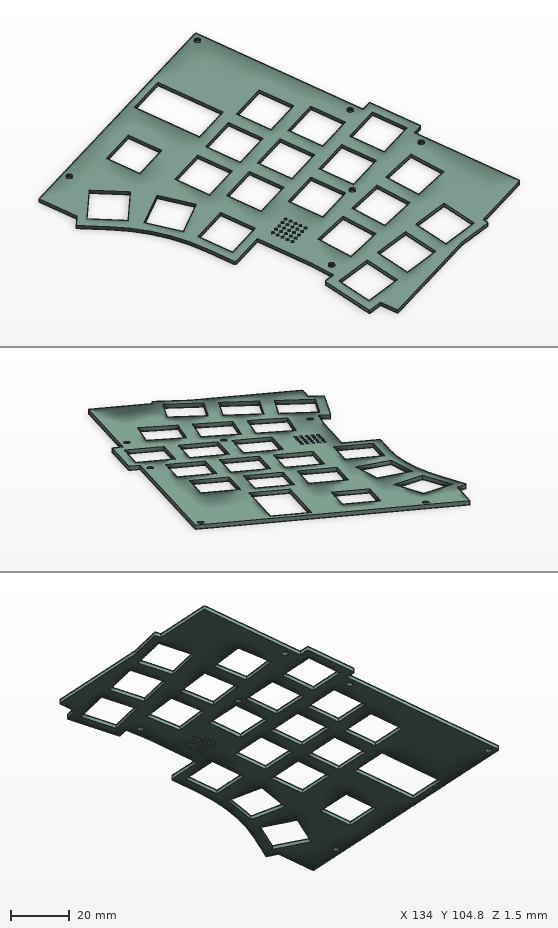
import cadquery as cq
import math

THICKNESS = 1.5

BODY_WIDTH = 131.8
BODY_HEIGHT = 97.05
FINGER_EDGE_Y = 24.4
FINGER_EDGE_BEND_X = 94.5
RIGHT_EDGE_Y = 21.3
CORNER_RADIUS = 0.5

SWITCH_SIZE = 14.0
KEY_PITCH = 19.05
KEYS_PER_COLUMN = 3
PAD_MARGIN = 3.45
PAD_HALF = SWITCH_SIZE / 2 + PAD_MARGIN

TALL_COLUMN = (78.5, 71.52, 0)
RING_COLUMN = (98.9, 61.03, -4)
PINKY_COLUMN = (118.68, 46.73, -10)
FINGER_COLUMNS = [
    (TALL_COLUMN[0] - 2 * KEY_PITCH, 59.45, 0),
    (TALL_COLUMN[0] - KEY_PITCH, 62.4, 0),
    TALL_COLUMN,
    RING_COLUMN,
    PINKY_COLUMN,
]

INNER_THUMB_X = 62.3
INNER_THUMB_Y = 21.25
THUMB_RADIUS = 81.6
THUMB_STEP = 15
THUMB_COUNT = 3
THUMB_EDGE_RADIUS = 66.0
THUMB_CENTRE_Y = INNER_THUMB_Y - THUMB_RADIUS

DISPLAY_CENTRE = (15.8, 62.5)
DISPLAY_SIZE = (26.4, 14.5)
KNOB_CENTRE = (15.1, 35.9)
KNOB_SIZE = 13.5

SCREW_DIAMETER = 2.2
SCREW_CENTRES = [
    (2.5, 94.4),
    (64.6, 94.4),
    (93.4, 94.4),
    (86.6, 62.1),
    (100.8, 27.5),
    (2.5, 14.9),
]
VENT_DIAMETER = 1.0
VENT_PITCH = 2.0
VENT_COUNT = 5
VENT_CENTRE = (79.5, 33.7)


def offset_point(frame, right, up):
    """Point at a distance right of and above a switch, along the switch's own tilted sides."""
    x, y, tilt = frame
    angle = math.radians(tilt)
    return (
        x + right * math.cos(angle) - up * math.sin(angle),
        y + right * math.sin(angle) + up * math.cos(angle),
    )


def column_keys(column):
    """Switch frames of a finger column, from the lowest to the highest."""
    middle = (KEYS_PER_COLUMN - 1) / 2
    tilt = column[2]
    return [
        (*offset_point(column, 0, (row - middle) * KEY_PITCH), tilt)
        for row in range(KEYS_PER_COLUMN)
    ]


def thumb_arc_point(radius, degrees):
    """Point on a circle about the thumb centre, at an angle left of straight up."""
    angle = math.radians(degrees)
    return (INNER_THUMB_X - radius * math.sin(angle), THUMB_CENTRE_Y + radius * math.cos(angle))


def thumb_keys():
    """Switch frames of the thumb cluster, from the inner to the outer one."""
    angles = [index * THUMB_STEP for index in range(THUMB_COUNT)]
    return [(*thumb_arc_point(THUMB_RADIUS, angle), angle) for angle in angles]


def tilted_block(frame, width, height):
    """Block as thick as the plate, centred on a tilted frame."""
    x, y, tilt = frame
    block = cq.Workplane("XY").rect(width, height).extrude(THICKNESS)
    return block.rotate((0, 0, 0), (0, 0, 1), tilt).translate((x, y, 0))


def thumb_edge_corner():
    """Point where the straight lower edges of the inner and the outer thumb pad would meet."""
    half_sweep = (THUMB_COUNT - 1) * THUMB_STEP / 2
    edge_distance = THUMB_RADIUS - PAD_HALF
    return thumb_arc_point(edge_distance / math.cos(math.radians(half_sweep)), half_sweep)


def round_corners(plate, corners, radius):
    """Round the upright edges of the plate that stand at the given points."""
    for x, y in corners:
        nearest = cq.selectors.NearestToPointSelector((x, y, THICKNESS / 2))
        plate = plate.edges("|Z").edges(nearest).fillet(radius)
    return plate


def make_body():
    """Main body with the thumb pads, their concave lower edge and the slant below the ring column."""
    outer_thumb = thumb_keys()[-1]
    outer_corner = offset_point(outer_thumb, -PAD_HALF, -PAD_HALF)
    outer_side_x = outer_corner[0] + outer_corner[1] * math.tan(math.radians(outer_thumb[2]))
    inner_corner = (INNER_THUMB_X + PAD_HALF, INNER_THUMB_Y - PAD_HALF)
    slant_end_x = column_keys(PINKY_COLUMN)[0][0]
    slant = math.tan(math.radians(RING_COLUMN[2]))
    slant_end_y = FINGER_EDGE_Y + (slant_end_x - FINGER_EDGE_BEND_X) * slant
    body = (
        cq.Workplane("XY")
        .lineTo(outer_side_x, 0)
        .lineTo(*outer_corner)
        .lineTo(*thumb_edge_corner())
        .lineTo(*inner_corner)
        .lineTo(inner_corner[0], FINGER_EDGE_Y)
        .lineTo(FINGER_EDGE_BEND_X, FINGER_EDGE_Y)
        .lineTo(slant_end_x, slant_end_y)
        .lineTo(slant_end_x, RIGHT_EDGE_Y)
        .lineTo(BODY_WIDTH, RIGHT_EDGE_Y)
        .lineTo(BODY_WIDTH, BODY_HEIGHT)
        .lineTo(0, BODY_HEIGHT)
        .close()
        .extrude(THICKNESS)
    )
    body = round_corners(body, [thumb_edge_corner()], THUMB_EDGE_RADIUS)
    return round_corners(
        body,
        [
            (0, BODY_HEIGHT),
            (BODY_WIDTH, BODY_HEIGHT),
            (BODY_WIDTH, RIGHT_EDGE_Y),
            inner_corner,
            outer_corner,
        ],
        CORNER_RADIUS,
    )


def column_pad(column):
    """Pad that carries a whole finger column past the edges of the body."""
    length = (KEYS_PER_COLUMN - 1) * KEY_PITCH + 2 * PAD_HALF
    pad = tilted_block(column, 2 * PAD_HALF, length)
    return pad.edges("|Z").fillet(CORNER_RADIUS)


def make_blank():
    """Outline of the whole plate, still without openings."""
    return make_body().union(column_pad(TALL_COLUMN)).union(column_pad(PINKY_COLUMN))


def cut_switches(plate):
    """Cut a square opening for every switch."""
    keys = thumb_keys()
    for column in FINGER_COLUMNS:
        keys += column_keys(column)
    for key in keys:
        plate = plate.cut(tilted_block(key, SWITCH_SIZE, SWITCH_SIZE))
    return plate


def cut_windows(plate):
    """Cut the display window and the square window below it."""
    plate = plate.cut(tilted_block((*DISPLAY_CENTRE, 0), *DISPLAY_SIZE))
    return plate.cut(tilted_block((*KNOB_CENTRE, 0), KNOB_SIZE, KNOB_SIZE))


def cut_round_holes(plate):
    """Drill the screw holes and the square grid of small holes."""
    screws = cq.Workplane("XY").pushPoints(SCREW_CENTRES).circle(SCREW_DIAMETER / 2).extrude(THICKNESS)
    vents = (
        cq.Workplane("XY")
        .center(*VENT_CENTRE)
        .rarray(VENT_PITCH, VENT_PITCH, VENT_COUNT, VENT_COUNT)
        .circle(VENT_DIAMETER / 2)
        .extrude(THICKNESS)
    )
    return plate.cut(screws).cut(vents)


result = cut_round_holes(cut_windows(cut_switches(make_blank())))